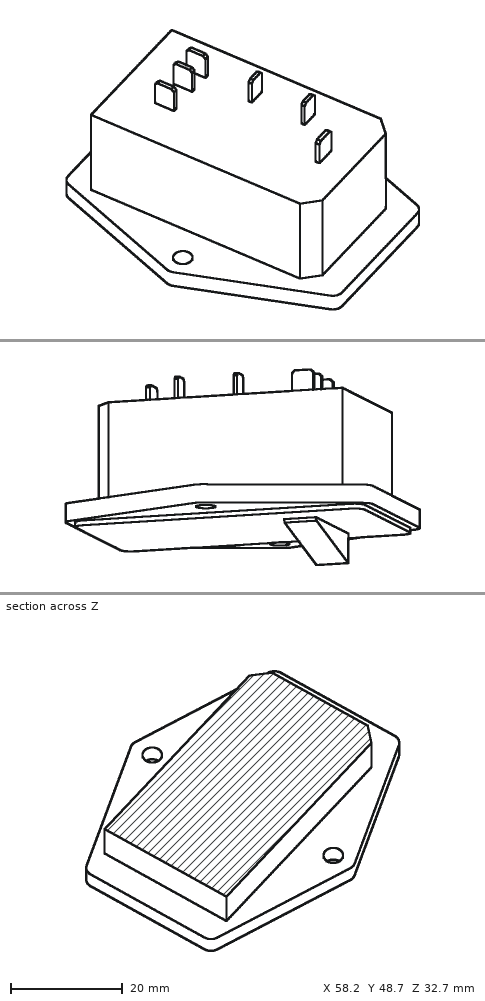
import cadquery as cq

flange_length = 58.2
flange_tip_y = 24.5
flange_shoulder_y = 13.95
flange_thickness = 3.3
flange_corner_radius = 2.0
screw_hole_diameter = 3.5
screw_hole_spacing = 40.05

lip_length = 55.0
lip_width = 28.15
lip_height = 0.9
lip_corner_radius = 2.05

housing_length = 47.3
housing_width = 27.0
housing_height = 18.05
housing_corner_cut = 2.9

blade_height = 5.0
blade_corner_cut = 0.5
wide_blade = 4.0
narrow_blade = 3.4
thick_blade = 0.8
thin_blade = 0.7

switch_x = -13.7
switch_blade_positions_y = (6.3, 1.85, -4.25)
power_blade_positions_x = (-1.45, 9.8)
power_blade_y = 6.45
ground_blade_x = 17.45
ground_blade_y = -0.45

rocker_width = 6.05
rocker_high_y = -9.55
rocker_low_y = 8.0
rocker_depth = 5.4
rocker_low_depth = 0.6
rocker_low_setback = 0.3

housing_base_z = flange_thickness
housing_top_z = housing_base_z + housing_height


def make_flange():
    half_length = flange_length / 2
    outline = [
        (half_length, flange_shoulder_y),
        (0, flange_tip_y),
        (-half_length, flange_shoulder_y),
        (-half_length, -flange_shoulder_y),
        (0, -flange_tip_y),
        (half_length, -flange_shoulder_y),
    ]
    flange = cq.Workplane("XY").polyline(outline).close().extrude(flange_thickness)
    flange = flange.edges("|Z").fillet(flange_corner_radius)
    hole_centers = [(0, side * screw_hole_spacing / 2) for side in (1, -1)]
    return flange.faces(">Z").workplane(origin=(0, 0, 0)).pushPoints(hole_centers).hole(screw_hole_diameter)


def make_lip():
    lip = cq.Workplane("XY").rect(lip_length, lip_width).extrude(-lip_height)
    return lip.edges("|Z").fillet(lip_corner_radius)


def make_housing():
    housing = (
        cq.Workplane("XY")
        .workplane(offset=housing_base_z)
        .rect(housing_length, housing_width)
        .extrude(housing_height)
    )
    return housing.faces(">X").edges("|Z").chamfer(housing_corner_cut)


def make_blade(x, y, width, thickness, along_y=False):
    """Upright blade with its two top corners cut off, wide along X unless along_y is set."""
    blade = (
        cq.Workplane("XY")
        .rect(width, thickness)
        .extrude(blade_height)
        .faces(">Z")
        .edges("|Y")
        .chamfer(blade_corner_cut)
    )
    if along_y:
        blade = blade.rotate((0, 0, 0), (0, 0, 1), 90)
    return blade.translate((x, y, housing_top_z))


def make_rocker():
    top_z = -lip_height
    profile = [
        (rocker_high_y, top_z),
        (rocker_high_y, top_z - rocker_depth),
        (rocker_low_y - rocker_low_setback, top_z - rocker_low_depth),
        (rocker_low_y, top_z),
    ]
    return (
        cq.Workplane("YZ", origin=(switch_x, 0, 0))
        .polyline(profile)
        .close()
        .extrude(rocker_width / 2, both=True)
    )


result = make_flange().union(make_lip()).union(make_housing()).union(make_rocker())

for blade_y in switch_blade_positions_y:
    result = result.union(make_blade(switch_x, blade_y, wide_blade, thick_blade))

for blade_x in power_blade_positions_x:
    result = result.union(make_blade(blade_x, power_blade_y, narrow_blade, thin_blade, along_y=True))

result = result.union(make_blade(ground_blade_x, ground_blade_y, wide_blade, thick_blade, along_y=True))